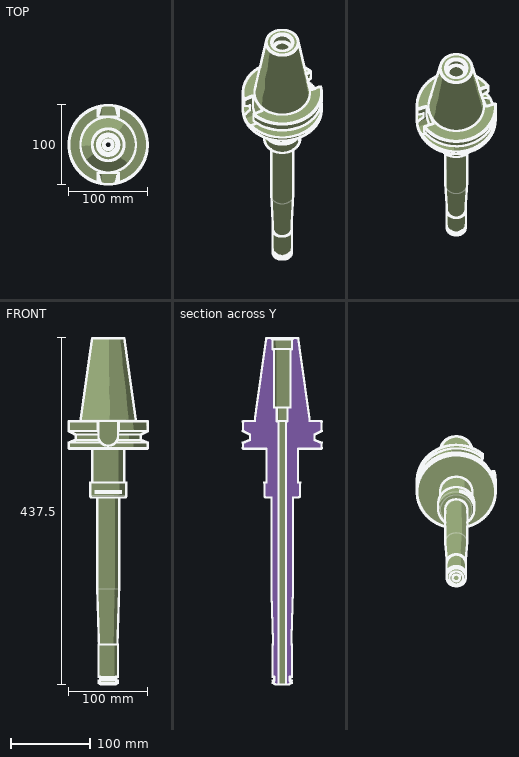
import cadquery as cq


taper_large_dia = 70.0
taper_small_dia = 41.0
taper_top_z = 102.0
taper_bottom_z = -1.5
taper_top_chamfer = 1.0

flange_dia = 100.0
flange_top_z = -2.5
flange_bottom_z = -38.0
flange_chamfer = 1.0
groove_dia = 82.5
groove_start_z = -15.7
groove_floor_top_z = -20.0
groove_floor_bottom_z = -26.5
groove_end_z = -30.0

slot_width = 25.0
slot_floor_distance = 35.5
slot_bottom_z = -34.0
slot_chamfer = 1.1

neck_dia = 40.5
collar_dia = 46.0
collar_top_z = -80.5
collar_bottom_z = -99.5
collar_round_radius = 3.0
notch_depth = 1.0
notch_angle = 90
notch_top_z = -91.0
notch_bottom_z = -93.5

bar_dia = 28.0
bar_end_z = -215.0
bar_taper_end_dia = 23.5
bar_taper_end_z = -285.0
tip_dia = 25.0
tip_bottom_z = -326.0

total_length = 437.5
nose_bottom_z = taper_top_z - total_length
nose_neck_dia = 19.5
nose_ring_dia = 20.5
nose_ring_top_z = -327.0
nose_ring_bottom_z = -329.5
nose_disc_dia = 24.5
nose_disc_top_z = -330.5
nose_disc_bottom_z = -333.2
nose_end_dia = 17.5

bore_mouth_dia = 28.0
bore_dia = 24.5
bore_mouth_depth = 1.7
bore_depth = 14.0
step_bore_dia = 20.5
step_bore_depth = 87.5
pilot_bore_dia = 13.0
pilot_bore_depth = 105.0
through_dia = 9.0


def revolved(profile):
    """Solid of revolution about Z from (diameter, z) pairs, closed along the axis."""
    points = [(0, profile[0][1])]
    points += [(dia / 2, z) for dia, z in profile]
    points += [(0, profile[-1][1])]
    return cq.Workplane("XZ").polyline(points).close().revolve(360, (0, 0), (0, 1))


def make_shank():
    flange_rim_dia = flange_dia - 2 * flange_chamfer
    return revolved([
        (taper_small_dia - 2 * taper_top_chamfer, taper_top_z),
        (taper_small_dia, taper_top_z - taper_top_chamfer),
        (taper_large_dia, taper_bottom_z),
        (taper_large_dia, flange_top_z),
        (flange_rim_dia, flange_top_z),
        (flange_dia, flange_top_z - flange_chamfer),
        (flange_dia, groove_start_z),
        (groove_dia, groove_floor_top_z),
        (groove_dia, groove_floor_bottom_z),
        (flange_dia, groove_end_z),
        (flange_dia, flange_bottom_z + flange_chamfer),
        (flange_rim_dia, flange_bottom_z),
    ])


def make_bar():
    bar = revolved([
        (neck_dia, flange_bottom_z),
        (neck_dia, collar_top_z),
        (bar_dia, collar_top_z),
        (bar_dia, bar_end_z),
        (bar_taper_end_dia, bar_taper_end_z),
        (tip_dia, bar_taper_end_z),
        (tip_dia, tip_bottom_z),
        (nose_neck_dia, tip_bottom_z),
        (nose_neck_dia, nose_ring_top_z),
        (nose_ring_dia, nose_ring_top_z),
        (nose_ring_dia, nose_ring_bottom_z),
        (nose_neck_dia, nose_ring_bottom_z),
        (nose_neck_dia, nose_disc_top_z),
        (nose_disc_dia, nose_disc_top_z),
        (nose_disc_dia, nose_disc_bottom_z),
        (nose_end_dia, nose_bottom_z),
    ])
    collar_height = collar_top_z - collar_bottom_z
    collar = (
        cq.Workplane("XY", origin=(0, 0, collar_bottom_z))
        .circle(collar_dia / 2)
        .extrude(collar_height)
        .faces("<Z")
        .edges()
        .fillet(collar_round_radius)
    )
    return bar.union(collar)


def make_bore():
    return revolved([
        (bore_mouth_dia, taper_top_z),
        (bore_dia, taper_top_z - bore_mouth_depth),
        (bore_dia, taper_top_z - bore_depth),
        (step_bore_dia, taper_top_z - bore_depth),
        (step_bore_dia, taper_top_z - step_bore_depth),
        (pilot_bore_dia, taper_top_z - step_bore_depth),
        (pilot_bore_dia, taper_top_z - pilot_bore_depth),
        (through_dia, taper_top_z - pilot_bore_depth),
        (through_dia, nose_bottom_z),
    ])


def make_key_slot():
    """Round-bottomed slot cutter on the -Y side of the flange, open at the top and outside."""
    half_width = slot_width / 2
    round_z = slot_bottom_z + half_width
    return (
        cq.Workplane("XZ", origin=(0, -slot_floor_distance, 0))
        .moveTo(-half_width, 0)
        .lineTo(-half_width, round_z)
        .threePointArc((0, slot_bottom_z), (half_width, round_z))
        .lineTo(half_width, 0)
        .close()
        .extrude(flange_dia)
    )


def make_collar_notch():
    """Shallow arc groove cutter centred on the -Y side of the collar."""
    floor_radius = collar_dia / 2 - notch_depth
    return (
        cq.Workplane("XZ")
        .moveTo(floor_radius, notch_bottom_z)
        .lineTo(collar_dia, notch_bottom_z)
        .lineTo(collar_dia, notch_top_z)
        .lineTo(floor_radius, notch_top_z)
        .close()
        .revolve(notch_angle, (0, 0), (0, 1))
        .rotate((0, 0, 0), (0, 0, 1), -90 - notch_angle / 2)
    )


def is_slot_rim(edge):
    """True for the mouth edges of a key slot's side walls on the upper flange ring."""
    box = edge.BoundingBox()
    tolerance = 0.005
    on_side_wall = abs(abs(box.center.x) - slot_width / 2) < tolerance and box.xlen < tolerance
    on_upper_ring = box.zmin > groove_start_z - tolerance
    outside_floor = abs(box.center.y) > slot_floor_distance + tolerance
    return on_side_wall and on_upper_ring and outside_floor


def cut_key_slots(shank):
    front_slot = make_key_slot()
    back_slot = front_slot.rotate((0, 0, 0), (0, 0, 1), 180)
    slotted = shank.cut(front_slot).cut(back_slot)
    rim_edges = [edge for edge in slotted.edges().vals() if is_slot_rim(edge)]
    return slotted.newObject(rim_edges).chamfer(slot_chamfer)


result = (
    cut_key_slots(make_shank())
    .union(make_bar())
    .cut(make_collar_notch())
    .cut(make_bore())
)